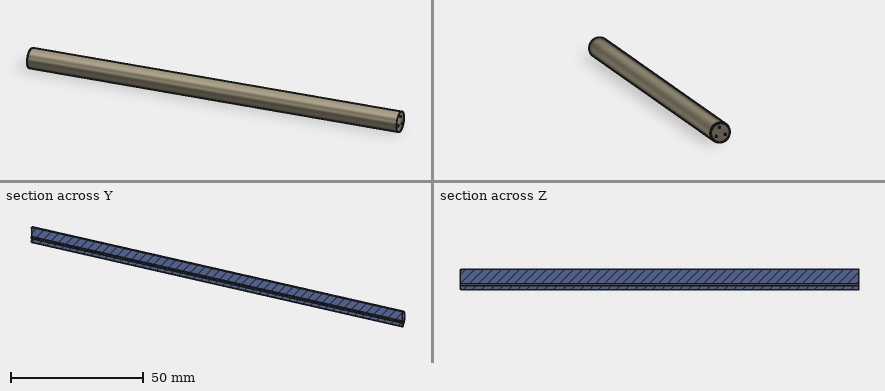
import cadquery as cq

rod_length = 150.0
rod_diameter = 8.0
end_chamfer = 0.38

bore_count = 3
bore_diameter = 0.68
bore_circle_radius = 2.1
first_bore_angle = 80.0


def make_rod():
    rod = cq.Workplane("YZ").circle(rod_diameter / 2).extrude(rod_length)
    return rod.faces("<X").chamfer(end_chamfer)


def make_bores():
    return (
        cq.Workplane("YZ")
        .polarArray(bore_circle_radius, first_bore_angle, 360, bore_count)
        .circle(bore_diameter / 2)
        .extrude(rod_length)
    )


result = make_rod().cut(make_bores())